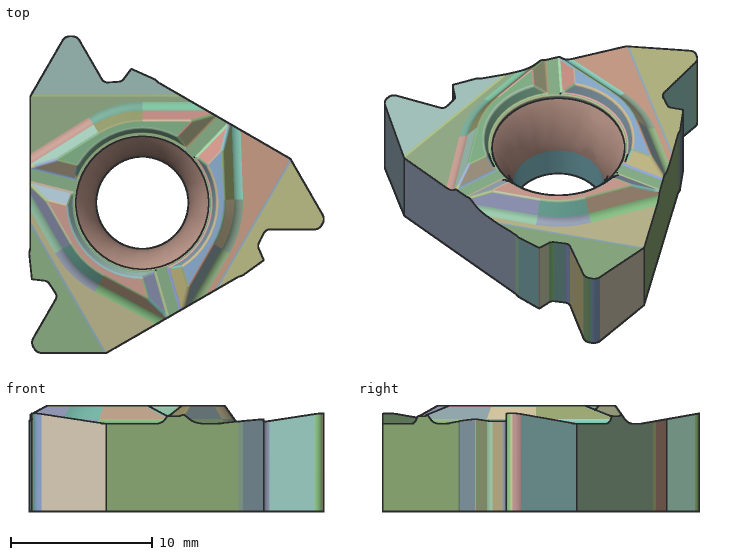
import cadquery as cq
import math

TEETH = 3
TOTAL_HEIGHT = 7.5
INSCRIBED_RADIUS = 7.9375

TIP_APEX_X = -5.04
TIP_APEX_Y = 12.525
TIP_Y = 11.78
TIP_RADIUS = 0.6
TOOTH_SLOPE = math.tan(math.radians(60))
FLANK_CORNER_Y = TIP_APEX_Y - TOOTH_SLOPE * (TIP_APEX_X + INSCRIBED_RADIUS)
ROOT_Y = 8.5
ROOT_RADIUS = 0.45
ROOT_END = (-1.45, 8.58)
CREST = (-0.78, 9.48)
CREST_RADIUS = 0.08
SHOULDER = (0.9, 8.725)
SHOULDER_END_X = 1.15

LAND_Z = 6.216
TOOTH_RISE = math.radians(10)
HINGE_RADIUS = 0.9

BOSS_TOP_RADIUS = 5.84
BOSS_WALL_ANGLE = math.radians(55)
BOSS_EDGE_ROUND = 0.2
BOSS_CORNER_HALF = 44
BOSS_FOOT_RADIUS = 0.75
SKIRT_WIDTH = 0.1

FLOOR_Z = 6.76
RECESS_TOP_RADIUS = 5.25
RECESS_FLOOR_RADIUS = 4.95
RECESS_FLOOR_ROUND = 0.12
CHANNEL_ANGLE = 46
CHANNEL_FLOOR_HALF = 0.5
CHANNEL_TOP_HALF = 1.45
CHANNEL_FLOOR_ROUND = 0.3

HOLE_RADIUS = 6.5 / 2
SEAT_TOP_RADIUS = 4.7
SEAT_TOP_Z = 6.45
RIM_ROUND = 0.1
SEAT_BOTTOM_Z = 2.5

REACH = 20.0
TOLERANCE = 1e-3
CLEARANCE = 1.0


def on_each_tooth(shape):
    """Copy a shape to every tooth position around the Z axis."""
    copies = shape
    for index in range(1, TEETH):
        copies = copies.union(shape.rotate((0, 0, 0), (0, 0, 1), index * 360 / TEETH))
    return copies


def turn(point, degrees):
    """Turn a point of the XY plane around the origin."""
    angle = math.radians(degrees)
    x, y = point
    return (x * math.cos(angle) - y * math.sin(angle), x * math.sin(angle) + y * math.cos(angle))


def rounded_outline(plane, corners):
    """Closed outline through corners (x, y, radius); a radius of 0 keeps the corner sharp."""
    pieces = []
    for index, (x, y, radius) in enumerate(corners):
        if radius == 0:
            pieces.append(((x, y), None, None))
            continue
        before = cq.Vector(*corners[index - 1][:2])
        after = cq.Vector(*corners[(index + 1) % len(corners)][:2])
        corner = cq.Vector(x, y)
        to_before = (before - corner).normalized()
        to_after = (after - corner).normalized()
        half_angle = to_before.getAngle(to_after) / 2
        tangent = radius / math.tan(half_angle)
        start = corner + to_before * tangent
        end = corner + to_after * tangent
        to_middle = radius / math.sin(half_angle) - radius
        middle = corner + (to_before + to_after).normalized() * to_middle
        pieces.append(tuple((point.x, point.y) for point in (start, middle, end)))

    outline = cq.Workplane(plane).moveTo(*pieces[0][0])
    for index, (start, middle, end) in enumerate(pieces):
        if index > 0:
            outline = outline.lineTo(*start)
        if middle:
            outline = outline.threePointArc(middle, end)
    return outline.close()


def make_prism():
    """Full height body with the three-tooth outline."""
    root_x = TIP_APEX_X + (TIP_APEX_Y - ROOT_Y) / TOOTH_SLOPE
    flank_normal = math.pi / TEETH
    flank_end_y = (INSCRIBED_RADIUS - SHOULDER_END_X * math.cos(flank_normal)) / math.sin(flank_normal)
    tip_half = (TIP_APEX_Y - TIP_Y) / TOOTH_SLOPE
    tooth = [
        (-INSCRIBED_RADIUS, FLANK_CORNER_Y, 0),
        (TIP_APEX_X - tip_half, TIP_Y, TIP_RADIUS),
        (TIP_APEX_X + tip_half, TIP_Y, TIP_RADIUS),
        (root_x, ROOT_Y, ROOT_RADIUS),
        (*ROOT_END, ROOT_RADIUS),
        (*CREST, CREST_RADIUS),
        (*SHOULDER, 0),
        (SHOULDER_END_X, flank_end_y, 0),
    ]
    corners = []
    for index in range(TEETH):
        for x, y, radius in tooth:
            corners.append((*turn((x, y), -index * 360 / TEETH), radius))
    return rounded_outline("XY", corners).extrude(TOTAL_HEIGHT)


def make_base():
    """Flat land with three tooth faces that rise outward from their hinge lines."""
    hinge_y = FLANK_CORNER_Y + HINGE_RADIUS * math.tan(TOOTH_RISE / 2)
    slope_end_z = LAND_Z + (REACH - hinge_y) * math.tan(TOOTH_RISE)
    slab = cq.Workplane("XY").circle(REACH).extrude(LAND_Z)
    rise = rounded_outline("YZ", [
        (hinge_y - CLEARANCE, LAND_Z - CLEARANCE, 0),
        (hinge_y - CLEARANCE, LAND_Z, 0),
        (hinge_y, LAND_Z, HINGE_RADIUS),
        (REACH, slope_end_z, 0),
        (REACH, LAND_Z - CLEARANCE, 0),
    ]).extrude(REACH, both=True)
    tooth_zone = cq.Workplane("XY").center(TIP_APEX_X, TIP_APEX_Y).rect(REACH, REACH).extrude(TOTAL_HEIGHT)
    return slab.union(on_each_tooth(rise.intersect(tooth_zone)))


def boss_profile(plane):
    """Radial section of the boss: top, sloped wall and hollow-rounded foot running onto the land."""
    foot_radius = BOSS_TOP_RADIUS + (TOTAL_HEIGHT - LAND_Z) / math.tan(BOSS_WALL_ANGLE)
    foot_tangent = BOSS_FOOT_RADIUS * math.tan(BOSS_WALL_ANGLE / 2)
    skirt_radius = foot_radius + foot_tangent + SKIRT_WIDTH
    return rounded_outline(plane, [
        (0, LAND_Z - CLEARANCE, 0),
        (0, TOTAL_HEIGHT, 0),
        (BOSS_TOP_RADIUS, TOTAL_HEIGHT, 0),
        (foot_radius, LAND_Z, BOSS_FOOT_RADIUS),
        (skirt_radius, LAND_Z, 0),
        (skirt_radius, LAND_Z - CLEARANCE, 0),
    ])


def make_sharp_boss():
    """Round boss whose walls run straight on to a corner towards each flank."""
    round_part = boss_profile("XZ").revolve(360, (0, 0, 0), (0, 1, 0))
    right_wall = boss_profile("XZ").extrude(-REACH)
    left_wall = right_wall.mirror("XZ")
    right_wall = right_wall.rotate((0, 0, 0), (0, 0, 1), CHANNEL_ANGLE - BOSS_CORNER_HALF)
    left_wall = left_wall.rotate((0, 0, 0), (0, 0, 1), CHANNEL_ANGLE + BOSS_CORNER_HALF)
    return round_part.union(on_each_tooth(right_wall.intersect(left_wall)))


def make_recess():
    """Ring recess around the hole."""
    return rounded_outline("XZ", [
        (0, FLOOR_Z, 0),
        (RECESS_FLOOR_RADIUS, FLOOR_Z, RECESS_FLOOR_ROUND),
        (RECESS_TOP_RADIUS, TOTAL_HEIGHT, 0),
        (0, TOTAL_HEIGHT, 0),
    ]).revolve(360, (0, 0, 0), (0, 1, 0))


def make_channel():
    """Flat-bottomed channel with sloped sides, leading from the hole to a flank."""
    right_side = [
        (CHANNEL_FLOOR_HALF, FLOOR_Z, CHANNEL_FLOOR_ROUND),
        (CHANNEL_TOP_HALF, TOTAL_HEIGHT, 0),
    ]
    left_side = [(-x, z, radius) for x, z, radius in reversed(right_side)]
    channel = rounded_outline("YZ", right_side + left_side).extrude(REACH)
    return channel.rotate((0, 0, 0), (0, 0, 1), CHANNEL_ANGLE)


def is_boss_rim(edge):
    """True for edges on or running down from the top, except where wall faces join smoothly."""
    if edge.BoundingBox().zmax < TOTAL_HEIGHT - TOLERANCE:
        return False
    top_end = max(edge.startPoint(), edge.endPoint(), key=lambda point: point.z)
    level = edge.BoundingBox().zmin > TOTAL_HEIGHT - TOLERANCE
    on_seam = abs(math.hypot(top_end.x, top_end.y) - BOSS_TOP_RADIUS) < TOLERANCE
    return level or not on_seam


def make_boss():
    """Boss parted by the recess and channels, with the edges of its raised pads rounded."""
    boss = make_sharp_boss().cut(make_recess()).cut(on_each_tooth(make_channel()))
    rim = [edge for edge in boss.edges().vals() if is_boss_rim(edge)]
    return boss.newObject(rim).fillet(BOSS_EDGE_ROUND)


def make_hole():
    """Through hole that flares upward along an arc tangent to its wall."""
    return (
        cq.Workplane("XZ")
        .lineTo(HOLE_RADIUS, 0)
        .lineTo(HOLE_RADIUS, SEAT_BOTTOM_Z)
        .tangentArcPoint((SEAT_TOP_RADIUS, SEAT_TOP_Z), relative=False)
        .lineTo(SEAT_TOP_RADIUS, FLOOR_Z - RIM_ROUND)
        .radiusArc((SEAT_TOP_RADIUS + RIM_ROUND, FLOOR_Z), RIM_ROUND)
        .lineTo(SEAT_TOP_RADIUS + RIM_ROUND, TOTAL_HEIGHT)
        .lineTo(0, TOTAL_HEIGHT)
        .close()
        .revolve(360, (0, 0, 0), (0, 1, 0))
    )


insert = make_base().union(make_boss())
result = make_prism().intersect(insert).cut(make_hole())